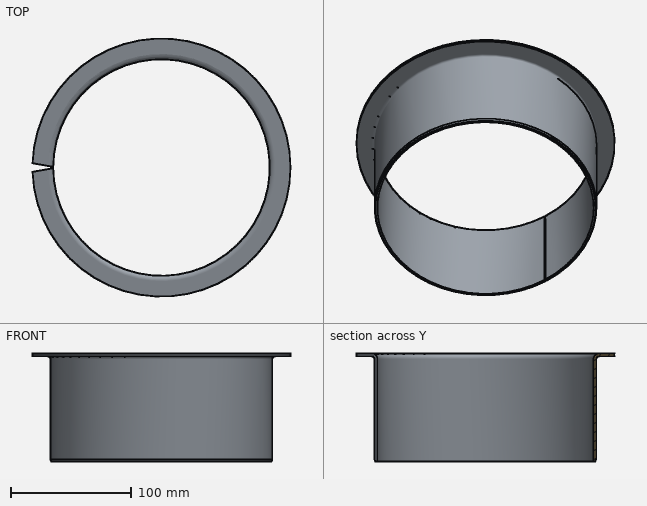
import cadquery as cq
import math

bore_radius = 90.0
wall = 2.5
flange_radius = 107.5
height = 90.0

outer_bend_radius = 2.0
inner_bend_radius = outer_bend_radius + wall

chamfer_height = 1.8
chamfer_angle = 25.0

split_half_angle = 10.0
split_apex_radius = 87.5

sleeve_radius = bore_radius + wall
bend_centre_radius = bore_radius + inner_bend_radius
bend_centre_z = height - inner_bend_radius


def flanged_sleeve():
    """Revolve the bent wall section, drawn as (radius, z), about the Z axis."""
    chamfer_depth = chamfer_height * math.tan(math.radians(chamfer_angle))
    diagonal = math.sqrt(0.5)
    inner_bend_middle = (
        bend_centre_radius - inner_bend_radius * diagonal,
        bend_centre_z + inner_bend_radius * diagonal,
    )
    outer_bend_middle = (
        bend_centre_radius - outer_bend_radius * diagonal,
        bend_centre_z + outer_bend_radius * diagonal,
    )
    section = (
        cq.Workplane("XZ")
        .moveTo(bore_radius, 0)
        .lineTo(bore_radius, bend_centre_z)
        .threePointArc(inner_bend_middle, (bend_centre_radius, height))
        .lineTo(flange_radius, height)
        .lineTo(flange_radius, height - wall)
        .lineTo(bend_centre_radius, height - wall)
        .threePointArc(outer_bend_middle, (sleeve_radius, bend_centre_z))
        .lineTo(sleeve_radius, chamfer_height)
        .lineTo(sleeve_radius - chamfer_depth, 0)
        .close()
    )
    return section.revolve(360, (0, 0, 0), (0, 1, 0))


def split_wedge():
    """Wedge that opens from just inside the bore to the flange rim on the -X side."""
    tool_radius = flange_radius + wall
    tool_half_width = (tool_radius - split_apex_radius) * math.tan(math.radians(split_half_angle))
    return (
        cq.Workplane("XY")
        .moveTo(-split_apex_radius, 0)
        .lineTo(-tool_radius, tool_half_width)
        .lineTo(-tool_radius, -tool_half_width)
        .close()
        .extrude(height)
    )


result = flanged_sleeve().rotate((0, 0, 0), (0, 0, 1), 180).cut(split_wedge())